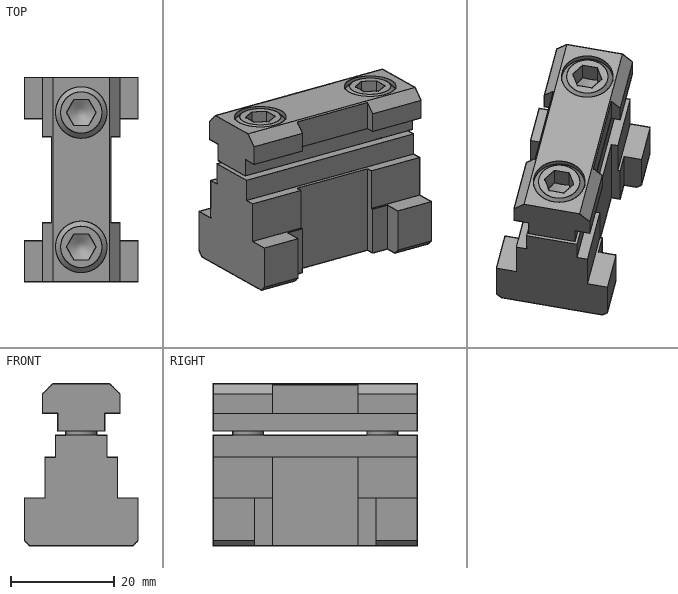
import cadquery as cq
import math

length = 39.6

base_width = 22.0
base_top = 9.25
base_chamfer = 1.0
shoulder_width = 14.1
shoulder_top = 17.2
neck_width = 9.98
neck_top = 21.42

gap = 0.8
stem_bottom = neck_top + gap
stem_width = 9.2
jaw_bottom = 25.65
jaw_top = 31.4
jaw_width = 15.05
jaw_chamfer = 2.0

foot_length = 8.0
waist_length = 16.65
inner_base_width = jaw_width
waist_width = 11.52

screw_spacing = 26.0
shank_diameter = 6.0
head_diameter = 9.98
head_chamfer = 1.0
socket_flats = 5.0
socket_depth = 3.95
socket_tip_depth = 1.43


def symmetric_prism(half_outline):
    """Extrude a right-hand XZ half outline, mirrored in X, along the full length."""
    left = [(-x, z) for x, z in reversed(half_outline)]
    return cq.Workplane("XZ").polyline(half_outline + left).close().extrude(length / 2, both=True)


def side_cutters(inner_width, cut_length, bottom, top):
    """Pair of boxes clearing everything outside inner_width around mid-length."""
    cutter_depth = (base_width - inner_width) / 2
    offset = (base_width + inner_width) / 4
    return (
        cq.Workplane("XY", origin=(0, 0, bottom))
        .pushPoints([(-offset, 0), (offset, 0)])
        .rect(cutter_depth, cut_length)
        .extrude(top - bottom)
    )


def lower_block():
    block = symmetric_prism([
        (base_width / 2 - base_chamfer, 0),
        (base_width / 2, base_chamfer),
        (base_width / 2, base_top),
        (shoulder_width / 2, base_top),
        (shoulder_width / 2, shoulder_top),
        (neck_width / 2, shoulder_top),
        (neck_width / 2, neck_top),
    ])
    block = block.cut(side_cutters(inner_base_width, length - 2 * foot_length, 0, base_top))
    return block.cut(side_cutters(waist_width, waist_length, 0, shoulder_top))


def upper_jaw():
    jaw = symmetric_prism([
        (stem_width / 2, stem_bottom),
        (stem_width / 2, jaw_bottom),
        (jaw_width / 2, jaw_bottom),
        (jaw_width / 2, jaw_top - jaw_chamfer),
        (jaw_width / 2 - jaw_chamfer, jaw_top),
    ])
    return jaw.cut(side_cutters(waist_width, waist_length, jaw_bottom, jaw_top))


def shank(y):
    """Exposed part of the screw, joining the block to the jaw."""
    return cq.Workplane("XY", origin=(0, y, neck_top)).circle(shank_diameter / 2).extrude(gap)


def rim_groove(y):
    """V-shaped ring left around the chamfered rim of a flush screw head."""
    outer = head_diameter / 2
    return (
        cq.Workplane("XZ", origin=(0, y, 0))
        .polyline([
            (outer - head_chamfer, jaw_top),
            (outer, jaw_top - head_chamfer),
            (outer, jaw_top),
        ])
        .close()
        .revolve(360, (0, 0), (0, 1))
    )


def socket(y):
    """Hexagonal key socket ending in a conical floor."""
    corner_radius = socket_flats / 2 / math.cos(math.pi / 6)
    floor = jaw_top - socket_depth
    tip = floor - socket_tip_depth
    hexagon = (
        cq.Workplane("XY", origin=(0, y, tip))
        .polygon(6, 2 * corner_radius)
        .extrude(jaw_top - tip)
    )
    pointed_bore = (
        cq.Workplane("XZ", origin=(0, y, 0))
        .polyline([(0, tip), (corner_radius, floor), (corner_radius, jaw_top), (0, jaw_top)])
        .close()
        .revolve(360, (0, 0), (0, 1))
    )
    return hexagon.intersect(pointed_bore)


result = lower_block().union(upper_jaw())
for screw_y in (-screw_spacing / 2, screw_spacing / 2):
    result = result.union(shank(screw_y))
    result = result.cut(rim_groove(screw_y)).cut(socket(screw_y))